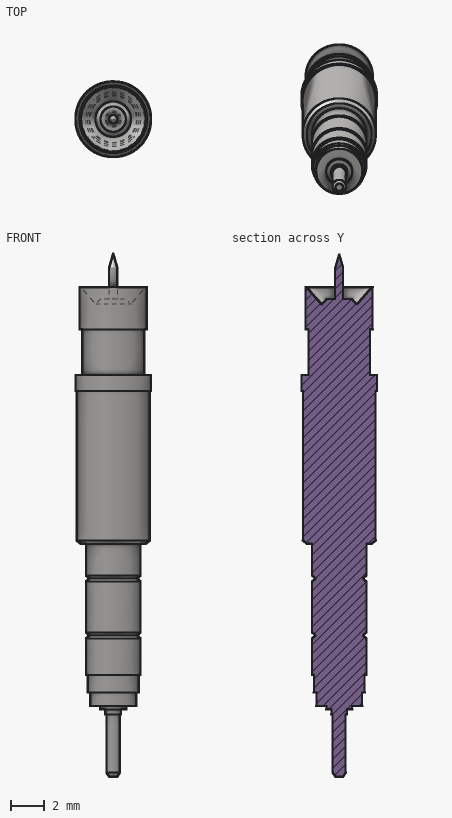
import cadquery as cq


pin_dia = 0.8
pin_end_dia = 0.45
pin_chamfer_height = 0.25
pin_top_z = 3.7

collar_dia = 0.95
shoulder_dia = 1.55
shoulder_bottom_z = 4.0
nose_dia = 2.75
nose_bottom_z = 4.2
step_dia = 3.05
step_bottom_z = 5.0

stem_dia = 3.25
stem_bottom_z = 6.05
groove_depth = 0.2
groove_width = 0.36
groove_centers_z = [8.38, 11.75]

barrel_dia = 4.35
barrel_bottom_z = 13.8
barrel_chamfer_width = 0.25
barrel_chamfer_height = 0.2
flange_dia = 4.5
flange_bottom_z = 22.85
flange_top_z = 23.8

neck_dia = 3.7
cup_dia = 4.0
cup_bottom_z = 26.5
cup_top_z = 29.0
cup_rim_width = 0.08
cup_floor_dia = 2.1
cup_depth = 1.0
boss_top_dia = 1.5
boss_height = 0.3

needle_dia = 0.5
needle_shoulder_z = 30.15
needle_tip_z = 31.0


def cylinder(diameter, bottom_z, top_z):
    """Solid cylinder on the Z axis between two heights."""
    base = cq.Workplane("XY").workplane(offset=bottom_z)
    return base.circle(diameter / 2).extrude(top_z - bottom_z)


def revolve_profile(points):
    """Solid of revolution about Z from a closed outline of (radius, height) points."""
    return cq.Workplane("XZ").polyline(points).close().revolve(360, (0, 0, 0), (0, 1, 0))


def make_contact_pin():
    """Lower pin with a chamfered end and a collar joining it to the shoulder."""
    return revolve_profile([
        (0, 0),
        (pin_end_dia / 2, 0),
        (pin_dia / 2, pin_chamfer_height),
        (pin_dia / 2, pin_top_z),
        (collar_dia / 2, pin_top_z),
        (collar_dia / 2, shoulder_bottom_z),
        (0, shoulder_bottom_z),
    ])


def make_groove(center_z):
    """Ring with a V section that cuts one groove around the stem."""
    stem_radius = stem_dia / 2
    return revolve_profile([
        (stem_radius, center_z - groove_width / 2),
        (stem_radius, center_z + groove_width / 2),
        (stem_radius - groove_depth, center_z),
    ])


def make_stem():
    """Stepped nose and the grooved stem above it."""
    stem = cylinder(shoulder_dia, shoulder_bottom_z, nose_bottom_z)
    stem = stem.union(cylinder(nose_dia, nose_bottom_z, step_bottom_z))
    stem = stem.union(cylinder(step_dia, step_bottom_z, stem_bottom_z))
    stem = stem.union(cylinder(stem_dia, stem_bottom_z, barrel_bottom_z))
    for center_z in groove_centers_z:
        stem = stem.cut(make_groove(center_z))
    return stem


def make_barrel():
    """Barrel with a chamfered lower edge and a flange on top."""
    radius = barrel_dia / 2
    barrel = revolve_profile([
        (0, barrel_bottom_z),
        (radius - barrel_chamfer_width, barrel_bottom_z),
        (radius, barrel_bottom_z + barrel_chamfer_height),
        (radius, flange_bottom_z),
        (0, flange_bottom_z),
    ])
    return barrel.union(cylinder(flange_dia, flange_bottom_z, flange_top_z))


def make_cup():
    """Neck and cup; the flared recess surrounds a tapered boss."""
    floor_z = cup_top_z - cup_depth
    recess = revolve_profile([
        (0, floor_z + boss_height),
        (boss_top_dia / 2, floor_z + boss_height),
        (cup_floor_dia / 2, floor_z),
        (cup_dia / 2 - cup_rim_width, cup_top_z),
        (0, cup_top_z),
    ])
    cup = cylinder(neck_dia, flange_top_z, cup_bottom_z)
    cup = cup.union(cylinder(cup_dia, cup_bottom_z, cup_top_z))
    return cup.cut(recess)


def make_needle():
    """Pointed needle, rooted inside the cup."""
    return revolve_profile([
        (0, cup_bottom_z),
        (needle_dia / 2, cup_bottom_z),
        (needle_dia / 2, needle_shoulder_z),
        (0, needle_tip_z),
    ])


result = (
    make_contact_pin()
    .union(make_stem())
    .union(make_barrel())
    .union(make_cup())
    .union(make_needle())
)